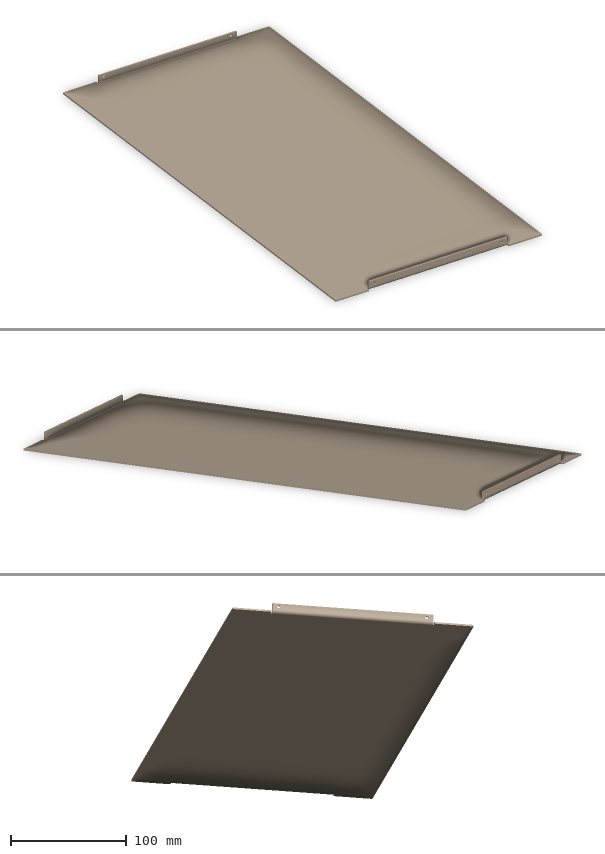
import cadquery as cq

length = 434.0
width = 213.0
height = 8.5
thickness = 1.5

flange_width = 142.5
flange_setback = 1.5
inner_radius = 1.0
outer_radius = inner_radius + thickness

relief_gap = 1.0
notch_width = flange_width + 2 * relief_gap
notch_depth = flange_setback + outer_radius

hole_diameter = 2.5
hole_edge_distance = 5.5
hole_height = 5.5
hole_spacing = flange_width - 2 * hole_edge_distance

flange_outer_x = length / 2 - flange_setback
bend_start_x = flange_outer_x - outer_radius


def make_plate():
    """Flat sheet with a wide notch in each short end."""
    plate = cq.Workplane("XY").box(length, width, thickness, centered=(True, True, False))
    notches = (
        cq.Workplane("XY")
        .pushPoints([(-length / 2, 0), (length / 2, 0)])
        .rect(2 * notch_depth, notch_width)
        .extrude(thickness)
    )
    return plate.cut(notches)


def make_flange():
    """Upright flange at the +X end, including its rounded bend and holes."""
    flange = (
        cq.Workplane("XZ")
        .moveTo(bend_start_x, 0)
        .radiusArc((flange_outer_x, outer_radius), -outer_radius)
        .lineTo(flange_outer_x, height)
        .lineTo(flange_outer_x - thickness, height)
        .lineTo(flange_outer_x - thickness, outer_radius)
        .radiusArc((bend_start_x, thickness), inner_radius)
        .close()
        .extrude(flange_width / 2, both=True)
    )
    holes = (
        cq.Workplane("YZ", origin=(bend_start_x, 0, hole_height))
        .pushPoints([(-hole_spacing / 2, 0), (hole_spacing / 2, 0)])
        .circle(hole_diameter / 2)
        .extrude(outer_radius)
    )
    return flange.cut(holes)


right_flange = make_flange()
left_flange = right_flange.mirror("YZ")
result = make_plate().union(right_flange).union(left_flange)